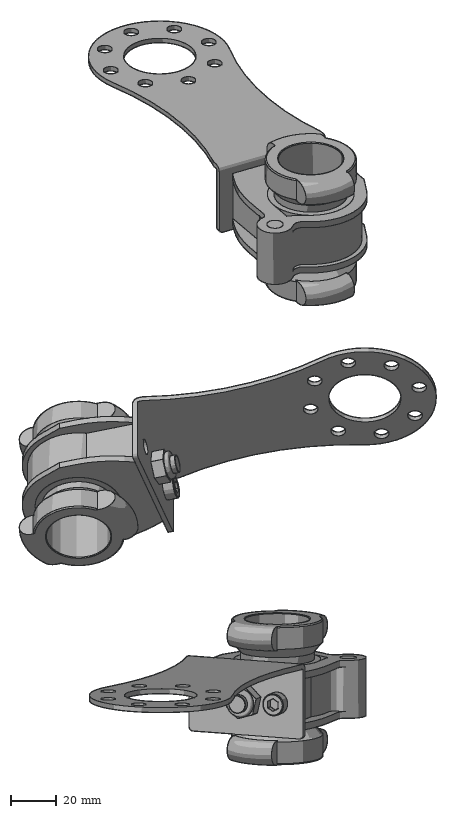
import cadquery as cq
import math

OVERALL_LENGTH = 189.6
OVERALL_WIDTH = 66.7

SLEEVE_HEIGHT = 62.0
BORE_RADIUS = 14.2
BORE_CHAMFER = 0.4
NECK_RADIUS = 16.3
COLLAR_RADIUS = 20.1
COLLAR_HEIGHT = 10.8
COLLAR_CHAMFER = 0.5
LUG_RADIUS = 26.2
LUG_LONG_SIDE = 15.0
LUG_SHORT_SIDE = 7.8

CLAMP_HEIGHT = 26.0
FLANGE_THICKNESS = 3.0
CLAMP_FACE_X = -33.2
FLANGE_SIDE_Y = 27.0
FLANGE_NOSE_RADIUS = 24.8
FLANGE_TAPER_ANGLE = 24.0
FLANGE_CURVE_RADIUS = 54.0
FLANGE_CURVE_START_X = -28.5
FLANGE_CURVE_END_X = -7.2
WEB_RADIUS = 22.5
WEB_HALF_WIDTH = 20.3
OPENING_RADIUS = 19.2
OPENING_CORNER_X = 11.5
HINGE_X = 15.5
HINGE_RADIUS = 8.0
SIDE_FILLET = 3.0
NOSE_FILLET = 5.0
PIN_RADIUS = 3.6

SHEET = 2.3
DISC_RADIUS = 31.5
DISC_BORE_RADIUS = 16.0
HOLE_RADIUS = 3.2
HOLE_CIRCLE_RADIUS = 25.0
HOLE_COUNT = 8
BRACKET_HALF_WIDTH = 27.3
BRACKET_TOP_Z = 18.4
BRACKET_BOTTOM_Z = -15.4
BRACKET_CORNER_RADIUS = 1.9
BEND_RADIUS = 3.0
WAIST_X = -75.8
WAIST_HALF_WIDTH = 22.2

SIDE_HOLE_Y = 15.0
CLEARANCE_RADIUS = 3.5
SIDE_HOLE_RADIUS = 2.7
THREAD_DEPTH = 9.5
SCREW_RADIUS = 3.0
SCREW_HEAD_RADIUS = 5.0
SCREW_HEAD_HEIGHT = 5.1
SCREW_HEAD_CHAMFER = 0.4
SOCKET_WIDTH = 5.0
SOCKET_DEPTH = 3.0
SOCKET_TURN = 30.0
STUD_RADIUS = 4.0
STUD_CHAMFER = 0.2
STUD_LENGTH = 10.2
HEX_WIDTH = 12.9
HEX_HEIGHT = 5.5
HEX_TURN = -17.0
RING_RADIUS = 6.3
RING_HEIGHT = 2.3
RING_FILLET = 0.8

DISC_X = LUG_RADIUS + DISC_RADIUS - OVERALL_LENGTH
HINGE_Y = DISC_RADIUS + HINGE_RADIUS - OVERALL_WIDTH
BRACKET_FACE_X = CLAMP_FACE_X - SHEET
CLAMP_HALF = CLAMP_HEIGHT / 2


def rod_along_x(start_x, y, radius, length):
    """Cylinder on the plane Z = 0 that runs from start_x toward +X."""
    return cq.Workplane("YZ", origin=(start_x, y, 0)).circle(radius).extrude(length)


def hexagon_along_x(start_x, y, width, length, turn):
    """Hexagonal bar of a given width across flats, turned about its own axis."""
    across_corners = width / math.cos(math.pi / 6)
    bar = cq.Workplane("YZ", origin=(start_x, y, 0)).polygon(6, across_corners).extrude(length)
    return bar.rotate((0, y, 0), (1, y, 0), turn)


def lug_pair(collar_bottom, collar_top):
    nose = COLLAR_HEIGHT / 2
    nose_start = LUG_RADIUS - nose
    ring = (
        cq.Workplane("XZ")
        .moveTo(NECK_RADIUS, collar_bottom)
        .lineTo(nose_start, collar_bottom)
        .threePointArc((LUG_RADIUS, collar_bottom + nose), (nose_start, collar_top))
        .lineTo(NECK_RADIUS, collar_top)
        .close()
        .revolve(360, (0, 0, 0), (0, 1, 0))
    )
    window = (
        cq.Workplane("XY", origin=(0, 0, collar_bottom))
        .moveTo(-LUG_RADIUS, -LUG_SHORT_SIDE)
        .lineTo(0, -LUG_SHORT_SIDE)
        .lineTo(0, -LUG_LONG_SIDE)
        .lineTo(LUG_RADIUS, -LUG_LONG_SIDE)
        .lineTo(LUG_RADIUS, LUG_SHORT_SIDE)
        .lineTo(0, LUG_SHORT_SIDE)
        .lineTo(0, LUG_LONG_SIDE)
        .lineTo(-LUG_RADIUS, LUG_LONG_SIDE)
        .close()
        .extrude(COLLAR_HEIGHT)
    )
    return ring.intersect(window)


def make_sleeve():
    top = SLEEVE_HEIGHT / 2
    collar_bottom = top - COLLAR_HEIGHT
    cone_bottom = collar_bottom - (COLLAR_RADIUS - NECK_RADIUS)
    body = (
        cq.Workplane("XZ")
        .moveTo(0, -top)
        .lineTo(COLLAR_RADIUS - COLLAR_CHAMFER, -top)
        .lineTo(COLLAR_RADIUS, -top + COLLAR_CHAMFER)
        .lineTo(COLLAR_RADIUS, -collar_bottom - COLLAR_CHAMFER)
        .lineTo(COLLAR_RADIUS - COLLAR_CHAMFER, -collar_bottom)
        .lineTo(NECK_RADIUS, -cone_bottom)
        .lineTo(NECK_RADIUS, -CLAMP_HALF)
        .lineTo(OPENING_RADIUS, -CLAMP_HALF)
        .lineTo(OPENING_RADIUS, CLAMP_HALF)
        .lineTo(NECK_RADIUS, CLAMP_HALF)
        .lineTo(NECK_RADIUS, cone_bottom)
        .lineTo(COLLAR_RADIUS - COLLAR_CHAMFER, collar_bottom)
        .lineTo(COLLAR_RADIUS, collar_bottom + COLLAR_CHAMFER)
        .lineTo(COLLAR_RADIUS, top - COLLAR_CHAMFER)
        .lineTo(COLLAR_RADIUS - COLLAR_CHAMFER, top)
        .lineTo(0, top)
        .close()
        .revolve(360, (0, 0, 0), (0, 1, 0))
    )
    body = body.union(lug_pair(collar_bottom, top)).union(lug_pair(-top, -collar_bottom))
    bore = cq.Workplane("XY", origin=(0, 0, -top)).circle(BORE_RADIUS).extrude(SLEEVE_HEIGHT)
    bore_rims = cq.selectors.RadiusNthSelector(0)
    return body.cut(bore).edges("%CIRCLE").edges(bore_rims).chamfer(BORE_CHAMFER)


def clamp_plane():
    """Workplane at the underside of the clamp."""
    return cq.Workplane("XY", origin=(0, 0, -CLAMP_HALF))


def upright_cylinder(x, y, radius):
    """Cylinder as tall as the clamp."""
    return clamp_plane().center(x, y).circle(radius).extrude(CLAMP_HEIGHT)


def prism(corners):
    """Polygonal prism as tall as the clamp."""
    return clamp_plane().polyline(corners).close().extrude(CLAMP_HEIGHT)


def flange_plate():
    """Flange outline at the full clamp height, without the hinge eye."""
    taper = math.radians(FLANGE_TAPER_ANGLE)
    nose_x = FLANGE_NOSE_RADIUS * math.sin(taper)
    nose_y = FLANGE_NOSE_RADIUS * math.cos(taper)
    taper_start_x = nose_x - (FLANGE_SIDE_Y - nose_y) / math.tan(taper)

    nose_end_y = -math.sqrt(FLANGE_NOSE_RADIUS**2 - HINGE_X**2)

    def curve_point(x):
        run = FLANGE_CURVE_END_X - x
        return x, FLANGE_SIDE_Y - FLANGE_CURVE_RADIUS + math.sqrt(FLANGE_CURVE_RADIUS**2 - run**2)

    start_x, start_y = curve_point(FLANGE_CURVE_START_X)
    mid_x, mid_y = curve_point((FLANGE_CURVE_START_X + FLANGE_CURVE_END_X) / 2)
    start_slope = math.tan(math.asin((FLANGE_CURVE_END_X - start_x) / FLANGE_CURVE_RADIUS))
    face_y = start_y - (start_x - CLAMP_FACE_X) * start_slope
    return (
        clamp_plane()
        .moveTo(CLAMP_FACE_X, -face_y)
        .lineTo(CLAMP_FACE_X, face_y)
        .lineTo(start_x, start_y)
        .threePointArc((mid_x, mid_y), (FLANGE_CURVE_END_X, FLANGE_SIDE_Y))
        .lineTo(taper_start_x, FLANGE_SIDE_Y)
        .lineTo(nose_x, nose_y)
        .threePointArc((FLANGE_NOSE_RADIUS, 0), (HINGE_X, nose_end_y))
        .lineTo(HINGE_X, -FLANGE_SIDE_Y)
        .lineTo(FLANGE_CURVE_END_X, -FLANGE_SIDE_Y)
        .threePointArc((mid_x, -mid_y), (start_x, -start_y))
        .close()
        .extrude(CLAMP_HEIGHT)
    )


def web_plate():
    """Straight web walls running into a round wall about the sleeve, without the hinge eye."""
    walls = [
        (CLAMP_FACE_X, -WEB_HALF_WIDTH),
        (0, -WEB_HALF_WIDTH),
        (0, -WEB_RADIUS),
        (HINGE_X, -WEB_RADIUS),
        (HINGE_X, 0),
        (0, WEB_HALF_WIDTH),
        (CLAMP_FACE_X, WEB_HALF_WIDTH),
    ]
    return upright_cylinder(0, 0, WEB_RADIUS).union(prism(walls))


def hinge_blends(side_y, nose_radius):
    """Concave fillets that lead from the flat side at -side_y and from the round nose into the hinge eye."""
    side_reach = HINGE_RADIUS + SIDE_FILLET
    side_center_y = -side_y - SIDE_FILLET
    side_center_x = HINGE_X - math.sqrt(side_reach**2 - (HINGE_Y - side_center_y) ** 2)

    eye_reach = HINGE_RADIUS + NOSE_FILLET
    nose_reach = nose_radius + NOSE_FILLET
    hinge_distance = math.hypot(HINGE_X, HINGE_Y)
    along = (hinge_distance**2 + nose_reach**2 - eye_reach**2) / (2 * hinge_distance)
    nose_center_angle = math.atan2(HINGE_Y, HINGE_X) + math.acos(along / nose_reach)
    nose_center_x = nose_reach * math.cos(nose_center_angle)
    nose_center_y = nose_reach * math.sin(nose_center_angle)

    side_filler = [
        (side_center_x, side_center_y),
        (side_center_x, -side_y),
        (HINGE_X, -side_y),
        (HINGE_X, HINGE_Y),
    ]
    nose_filler = [(nose_center_x, nose_center_y), (0, 0), (HINGE_X, HINGE_Y)]
    side_round = upright_cylinder(side_center_x, side_center_y, SIDE_FILLET)
    nose_round = upright_cylinder(nose_center_x, nose_center_y, NOSE_FILLET)
    return prism(side_filler).cut(side_round).union(prism(nose_filler).cut(nose_round))


def clamp_opening():
    """Round opening for the sleeve with one sharp corner, whose sides are tangent to the round."""
    corner = (OPENING_CORNER_X, -OPENING_RADIUS)
    tangent_angle = 2 * math.atan2(corner[1], corner[0]) + math.pi / 2
    tangent_point = (OPENING_RADIUS * math.cos(tangent_angle), OPENING_RADIUS * math.sin(tangent_angle))
    pocket = prism([(0, 0), (0, -OPENING_RADIUS), corner, tangent_point])
    return upright_cylinder(0, 0, OPENING_RADIUS).union(pocket)


def make_clamp():
    gap = (
        cq.Workplane("XY", origin=(0, 0, FLANGE_THICKNESS - CLAMP_HALF))
        .rect(OVERALL_LENGTH, OVERALL_LENGTH)
        .extrude(CLAMP_HEIGHT - 2 * FLANGE_THICKNESS)
    )
    flanges = flange_plate().union(hinge_blends(FLANGE_SIDE_Y, FLANGE_NOSE_RADIUS)).cut(gap)
    web = web_plate().union(hinge_blends(WEB_RADIUS, WEB_RADIUS))
    hinge_eye = upright_cylinder(HINGE_X, HINGE_Y, HINGE_RADIUS)
    return (
        web.union(flanges)
        .union(hinge_eye)
        .cut(clamp_opening())
        .cut(upright_cylinder(HINGE_X, HINGE_Y, PIN_RADIUS))
        .cut(rod_along_x(CLAMP_FACE_X, SIDE_HOLE_Y, SIDE_HOLE_RADIUS, -CLAMP_FACE_X))
        .cut(rod_along_x(CLAMP_FACE_X, -SIDE_HOLE_Y, SCREW_RADIUS, THREAD_DEPTH))
        .cut(rod_along_x(CLAMP_FACE_X, 0, STUD_RADIUS, THREAD_DEPTH))
    )


def make_hinge_pin():
    return upright_cylinder(HINGE_X, HINGE_Y, PIN_RADIUS)


def bracket_outline():
    """Waisted plate whose concave sides are tangent to the disc and meet the straight end."""
    run = WAIST_X - DISC_X
    waist_radius = (run**2 + WAIST_HALF_WIDTH**2 - DISC_RADIUS**2) / (2 * (DISC_RADIUS - WAIST_HALF_WIDTH))
    arc_center_y = WAIST_HALF_WIDTH + waist_radius
    disc_share = DISC_RADIUS / (DISC_RADIUS + waist_radius)
    tangent_x = DISC_X + run * disc_share
    tangent_y = arc_center_y * disc_share
    flare_x = WAIST_X + math.sqrt(waist_radius**2 - (arc_center_y - BRACKET_HALF_WIDTH) ** 2)
    return (
        cq.Workplane("XY", origin=(0, 0, BRACKET_TOP_Z - SHEET))
        .moveTo(tangent_x, tangent_y)
        .threePointArc((WAIST_X, WAIST_HALF_WIDTH), (flare_x, BRACKET_HALF_WIDTH))
        .lineTo(CLAMP_FACE_X, BRACKET_HALF_WIDTH)
        .lineTo(CLAMP_FACE_X, -BRACKET_HALF_WIDTH)
        .lineTo(flare_x, -BRACKET_HALF_WIDTH)
        .threePointArc((WAIST_X, -WAIST_HALF_WIDTH), (tangent_x, -tangent_y))
        .threePointArc((DISC_X - DISC_RADIUS, 0), (tangent_x, tangent_y))
        .close()
        .extrude(SHEET)
    )


def make_bracket():
    tab_height = BRACKET_TOP_Z - BRACKET_BOTTOM_Z
    tab = (
        cq.Workplane("XY")
        .box(SHEET, 2 * BRACKET_HALF_WIDTH, tab_height, centered=(False, True, False))
        .translate((BRACKET_FACE_X, 0, BRACKET_BOTTOM_Z))
        .edges("|X and <Z")
        .fillet(BRACKET_CORNER_RADIUS)
    )
    body = bracket_outline().union(tab)
    body = body.edges("|Y and >X and >Z").fillet(BEND_RADIUS)
    inner_bend = cq.selectors.NearestToPointSelector((BRACKET_FACE_X, 0, BRACKET_TOP_Z - SHEET))
    body = body.edges("|Y").edges(inner_bend).fillet(BEND_RADIUS - SHEET)

    disc_center = cq.Workplane("XY", origin=(DISC_X, 0, BRACKET_TOP_Z - SHEET))
    disc_bore = disc_center.circle(DISC_BORE_RADIUS).extrude(SHEET)
    hole_ring = (
        disc_center.polarArray(HOLE_CIRCLE_RADIUS, 0, 360, HOLE_COUNT).circle(HOLE_RADIUS).extrude(SHEET)
    )
    return (
        body.cut(disc_bore)
        .cut(hole_ring)
        .cut(rod_along_x(BRACKET_FACE_X, SIDE_HOLE_Y, CLEARANCE_RADIUS, SHEET))
        .cut(rod_along_x(BRACKET_FACE_X, -SIDE_HOLE_Y, SCREW_RADIUS, SHEET))
        .cut(rod_along_x(BRACKET_FACE_X, 0, STUD_RADIUS, SHEET))
    )


def make_screw():
    head_x = BRACKET_FACE_X - SCREW_HEAD_HEIGHT
    head = rod_along_x(head_x, -SIDE_HOLE_Y, SCREW_HEAD_RADIUS, SCREW_HEAD_HEIGHT)
    head = head.faces("<X").chamfer(SCREW_HEAD_CHAMFER)
    shank = rod_along_x(BRACKET_FACE_X, -SIDE_HOLE_Y, SCREW_RADIUS, SHEET + THREAD_DEPTH)
    socket = hexagon_along_x(head_x, -SIDE_HOLE_Y, SOCKET_WIDTH, SOCKET_DEPTH, SOCKET_TURN)
    return head.union(shank).cut(socket)


def make_hexagon_stud():
    tip_x = BRACKET_FACE_X - STUD_LENGTH
    stud = rod_along_x(tip_x, 0, STUD_RADIUS, STUD_LENGTH + SHEET + THREAD_DEPTH)
    stud = stud.faces("<X").chamfer(STUD_CHAMFER)
    hexagon_x = BRACKET_FACE_X - HEX_HEIGHT
    hexagon = hexagon_along_x(hexagon_x, 0, HEX_WIDTH, HEX_HEIGHT, HEX_TURN)
    ring = rod_along_x(hexagon_x - RING_HEIGHT, 0, RING_RADIUS, RING_HEIGHT)
    ring = ring.edges("%CIRCLE").fillet(RING_FILLET)
    return stud.union(hexagon).union(ring)


sleeve = make_sleeve()
clamp = make_clamp()
hinge_pin = make_hinge_pin()
bracket = make_bracket()
screw = make_screw()
hexagon_stud = make_hexagon_stud()

result = cq.Compound.makeCompound(
    [sleeve.val(), clamp.val(), hinge_pin.val(), bracket.val(), screw.val(), hexagon_stud.val()]
)